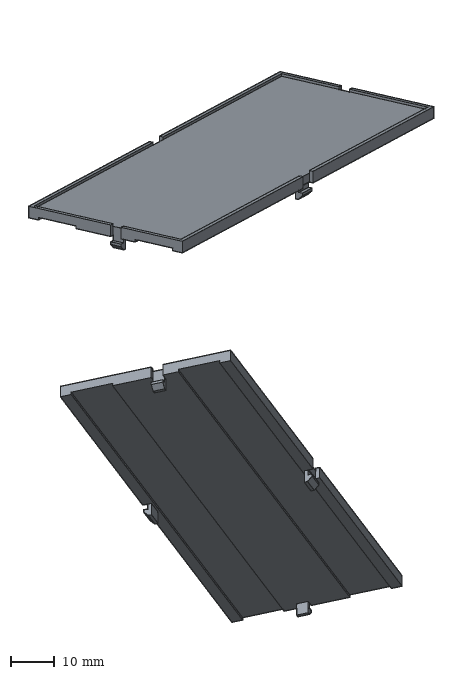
import cadquery as cq

LENGTH = 104.7
WIDTH = 41.8
TRAY_HEIGHT = 2.8
RIM_WIDTH = 0.99
RIM_HEIGHT = 0.6

CHANNEL_DEPTH = 0.6
CHANNEL_INNER_X = 8.1
CHANNEL_OUTER_X = 18.2

HOOK_BOTTOM = 5.9
HOOK_SHOULDER = 4.1
HOOK_CHAMFER = 1.2
HOOK_OVERHANG = RIM_WIDTH
HOOK_THICKNESS = 0.9
END_HOOK_WIDTH = 2.8
END_HOOK_X = 2.8
SIDE_HOOK_WIDTH = 4.1
SIDE_HOOK_SETBACK = 0.2


def block(x_min, x_max, y_min, y_max, z_min, z_max):
    """Box between the given limits."""
    size = (x_max - x_min, y_max - y_min, z_max - z_min)
    return cq.Workplane("XY").box(*size, centered=False).translate((x_min, y_min, z_min))


def make_hook(hook_width):
    """Hook hanging below the tray: neck face at X = 0, barb toward -X, centred on Y = 0."""
    return (
        cq.Workplane("XZ")
        .moveTo(0, -TRAY_HEIGHT)
        .lineTo(0, -HOOK_SHOULDER)
        .lineTo(-HOOK_OVERHANG, -HOOK_SHOULDER)
        .lineTo(-HOOK_OVERHANG, -HOOK_BOTTOM + HOOK_CHAMFER)
        .lineTo(-HOOK_OVERHANG + HOOK_CHAMFER, -HOOK_BOTTOM)
        .lineTo(HOOK_THICKNESS, -HOOK_BOTTOM)
        .lineTo(HOOK_THICKNESS, -TRAY_HEIGHT)
        .close()
        .extrude(hook_width / 2, both=True)
    )


def half_turn(shape):
    """Copy of a shape turned 180 degrees about the Z axis."""
    return shape.rotate((0, 0, 0), (0, 0, 1), 180)


def make_tray():
    """Rimmed plate with rim notches, underside channels and a hook at each end."""
    half_x = WIDTH / 2
    half_y = LENGTH / 2
    panel_x = half_x - RIM_WIDTH
    panel_y = half_y - RIM_WIDTH
    tray = block(-half_x, half_x, -half_y, half_y, -TRAY_HEIGHT, 0)
    tray = tray.cut(block(-panel_x, panel_x, -panel_y, panel_y, -RIM_HEIGHT, 0))

    channel_top = -TRAY_HEIGHT + CHANNEL_DEPTH
    channel = block(
        CHANNEL_INNER_X, CHANNEL_OUTER_X, -half_y, half_y, -TRAY_HEIGHT, channel_top
    )
    side_notch = block(
        -half_x, -panel_x, -SIDE_HOOK_WIDTH / 2, SIDE_HOOK_WIDTH / 2, -TRAY_HEIGHT, 0
    )
    end_notch = block(
        END_HOOK_X - END_HOOK_WIDTH / 2,
        END_HOOK_X + END_HOOK_WIDTH / 2,
        -half_y,
        -panel_y,
        -TRAY_HEIGHT,
        0,
    )
    for cutter in (channel, side_notch, end_notch):
        tray = tray.cut(cutter).cut(half_turn(cutter))

    end_hook = make_hook(END_HOOK_WIDTH).rotate((0, 0, 0), (0, 0, 1), 90)
    end_hook = end_hook.translate((END_HOOK_X, -panel_y, 0))
    return tray.union(end_hook).union(half_turn(end_hook))


def make_side_hook(angle):
    """Separate hook under a long edge, set slightly inside the notch face."""
    neck_x = -WIDTH / 2 + RIM_WIDTH + SIDE_HOOK_SETBACK
    hook = make_hook(SIDE_HOOK_WIDTH).translate((neck_x, 0, 0))
    return hook.rotate((0, 0, 0), (0, 0, 1), angle)


tray = make_tray()
side_hooks = []
for angle in (0, 180):
    side_hooks.append(make_side_hook(angle).val())

result = cq.Compound.makeCompound([tray.val(), *side_hooks])